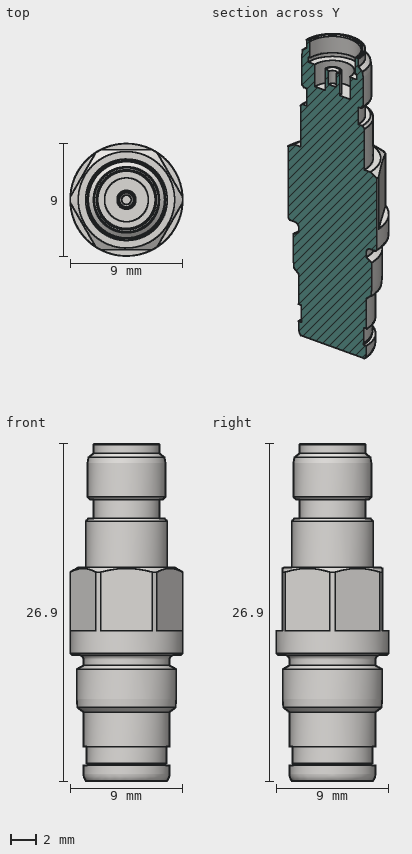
import cadquery as cq
import math

length = 26.93

plug_radius = 3.45
plug_rounding_height = 0.57
plug_rounding_radius = 0.85
plug_rounding_angle = math.asin(plug_rounding_height / plug_rounding_radius)
plug_ring_top = 1.25
groove_radius = 3.15
groove_top = 1.37
seat_radius = 3.2
seat_start = groove_top + seat_radius - groove_radius
seat_top = 2.75

collar_radius = 3.99
collar_tip_radius = 3.93
collar_cone_start = 5.5
collar_taper_start = 5.87
collar_start = 6.55
collar_top = 8.91
collar_top_angle = 30.0
collar_slope_top = collar_top + (collar_radius - plug_radius) * math.tan(math.radians(collar_top_angle))

flange_radius = 4.5
flange_chamfer = 0.15
flange_bottom = 10.05
neck_fillet = 0.35
hex_bottom = 12.0
hex_top = 17.05
hex_across_flats = 8.0
hex_top_radius = 3.85
hex_chamfer_angle = 30.0
hex_chamfer_height = (flange_radius - hex_top_radius) * math.tan(math.radians(hex_chamfer_angle))

barrel_radius = 3.25
barrel_top = 20.95
barrel_chamfer = 0.22
rim_radius = 2.65
thread_radius = 3.12
thread_bottom = 22.45
thread_chamfer = 0.22
thread_tip_radius = 3.05
thread_taper_start = 25.37
thread_cone_start = 25.83
thread_top = 26.15
rim_chamfer = 0.08

bore_radius = 2.3
bore_chamfer = 0.1
bore_depth = 2.0
undercut_depth = 1.6
undercut_radius = 2.42
inner_bore_radius = 1.75
inner_bore_depth = 3.99
contact_radius = 0.75
contact_chamfer = 0.08
contact_depth = bore_depth
contact_hole_radius = 0.38
contact_countersink = 0.2
contact_countersink_angle = 90.0
contact_hole_depth = 1.35


def plug_rounding_point(angle):
    """Point on the lower rounding, turned by angle from where it leaves the side of the plug."""
    radius = plug_radius - plug_rounding_radius * (1 - math.cos(angle))
    return radius, plug_rounding_height - plug_rounding_radius * math.sin(angle)


def neck_fillet_midpoint():
    """Point halfway along the quarter-round under the flange."""
    offset = neck_fillet * (1 - math.sqrt(0.5))
    return plug_radius + offset, flange_bottom - offset


def make_body():
    """Solid of revolution holding every outer step from end to end."""
    rounding_end = plug_rounding_point(plug_rounding_angle)
    rounding_middle = plug_rounding_point(plug_rounding_angle / 2)
    profile = (
        cq.Workplane("XZ")
        .moveTo(0, 0)
        .lineTo(*rounding_end)
        .threePointArc(rounding_middle, (plug_radius, plug_rounding_height))
        .lineTo(plug_radius, plug_ring_top)
        .lineTo(groove_radius, plug_ring_top)
        .lineTo(groove_radius, groove_top)
        .lineTo(seat_radius, seat_start)
        .lineTo(seat_radius, seat_top)
        .lineTo(plug_radius, seat_top)
        .lineTo(plug_radius, collar_cone_start)
        .lineTo(collar_tip_radius, collar_taper_start)
        .lineTo(collar_radius, collar_start)
        .lineTo(collar_radius, collar_top)
        .lineTo(plug_radius, collar_slope_top)
        .lineTo(plug_radius, flange_bottom - neck_fillet)
        .threePointArc(neck_fillet_midpoint(), (plug_radius + neck_fillet, flange_bottom))
        .lineTo(flange_radius - flange_chamfer, flange_bottom)
        .lineTo(flange_radius, flange_bottom + flange_chamfer)
        .lineTo(flange_radius, hex_top - hex_chamfer_height)
        .lineTo(hex_top_radius, hex_top)
        .lineTo(barrel_radius, hex_top)
        .lineTo(barrel_radius, barrel_top - barrel_chamfer)
        .lineTo(barrel_radius - barrel_chamfer, barrel_top)
        .lineTo(rim_radius, barrel_top)
        .lineTo(rim_radius, thread_bottom)
        .lineTo(thread_radius - thread_chamfer, thread_bottom)
        .lineTo(thread_radius, thread_bottom + thread_chamfer)
        .lineTo(thread_radius, thread_taper_start)
        .lineTo(thread_tip_radius, thread_cone_start)
        .lineTo(rim_radius, thread_top)
        .lineTo(rim_radius, length - rim_chamfer)
        .lineTo(rim_radius - rim_chamfer, length)
        .lineTo(0, length)
        .close()
    )
    return profile.revolve(360, (0, 0), (0, 1))


def make_hex_trim():
    """Material outside the hexagon, with flats facing +Y and -Y."""
    height = hex_top - hex_bottom
    across_corners = hex_across_flats / math.cos(math.pi / 6)
    outside = cq.Workplane("XY").workplane(offset=hex_bottom).circle(2 * flange_radius)
    return outside.polygon(6, across_corners).extrude(height)


def make_socket():
    """Void of the chamfered bore, its undercut and the inner bore."""
    profile = (
        cq.Workplane("XZ")
        .moveTo(0, length)
        .lineTo(bore_radius + bore_chamfer, length)
        .lineTo(bore_radius, length - bore_chamfer)
        .lineTo(bore_radius, length - undercut_depth)
        .lineTo(undercut_radius, length - undercut_depth)
        .lineTo(undercut_radius, length - bore_depth)
        .lineTo(inner_bore_radius, length - bore_depth)
        .lineTo(inner_bore_radius, length - inner_bore_depth)
        .lineTo(0, length - inner_bore_depth)
        .close()
    )
    return profile.revolve(360, (0, 0), (0, 1))


def make_contact():
    """Centre contact standing on the inner floor, with a countersunk hole."""
    height = inner_bore_depth - contact_depth
    contact = (
        cq.Workplane("XY")
        .workplane(offset=length - inner_bore_depth)
        .circle(contact_radius)
        .extrude(height)
        .faces(">Z")
        .chamfer(contact_chamfer)
    )
    return (
        contact.faces(">Z")
        .workplane()
        .cskHole(
            2 * contact_hole_radius,
            2 * (contact_hole_radius + contact_countersink),
            contact_countersink_angle,
            depth=contact_hole_depth,
        )
    )


result = make_body().cut(make_hex_trim()).cut(make_socket()).union(make_contact())